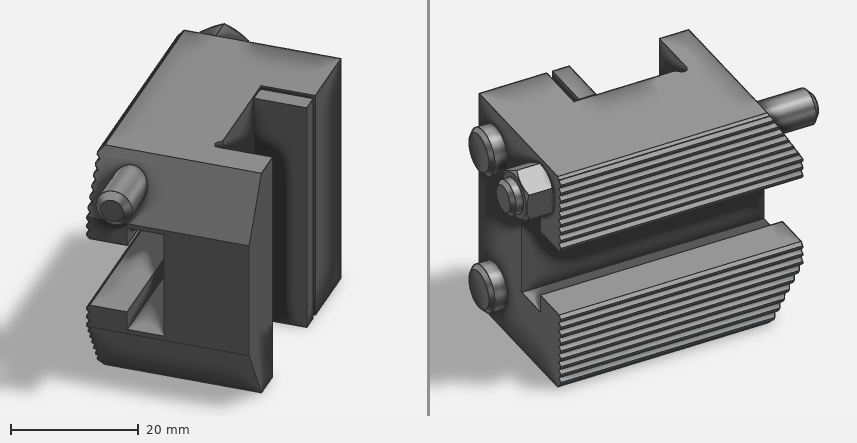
import cadquery as cq
import math

body_width = 27.0
body_length = 43.0
body_height = 40.0
half_height = body_height / 2
nose_chamfer_height = 10.0
nose_angle = 30.0
nose_chamfer_length = nose_chamfer_height * math.tan(math.radians(nose_angle))

slot_mouth_half = 6.05
slot_lip_depth = 6.75
slot_head_half = 9.25
slot_depth = 12.9

tooth_pitch = 1.5
tooth_depth = 0.58
groove_count = 8
first_groove_height = 7.5
crest_width = tooth_pitch - 2 * tooth_depth
crest_overhang = tooth_pitch / 2 + crest_width / 2
inner_edge_bevel = first_groove_height - crest_overhang - slot_mouth_half
outer_flank_height = first_groove_height + groove_count * tooth_pitch
outer_edge_bevel = 1.0

recess_floor = 18.0
recess_rear = 12.0
recess_front = 32.0
relief_radius = 0.85

plate_rear = 13.0
plate_thickness = 3.0
plate_clearance = 0.2

screw_diameter = 8.0
screw_tip_diameter = 6.0
screw_x = 21.5
screw_offset_z = 13.0
screw_head_projection = 3.0
screw_head_chamfer = 0.7
screw_tip_chamfer = (screw_diameter - screw_tip_diameter) / 2
screw_shoulder = 12.7

pin_diameter = 6.0
pin_tip_diameter = 3.8
pin_x = 6.0
pin_z = 15.0
pin_front_projection = 5.0
pin_rear_projection = 7.0
pin_tip_length = 1.0
pin_rear_chamfer = 0.7
nut_thickness = 5.0
nut_across_flats = 8.0
nut_across_corners = nut_across_flats / math.cos(math.radians(30))
nut_corner_setback = 0.75
nut_corner_length = nut_corner_setback * math.tan(math.radians(30))


def box(x_range, distance_range, z_range):
    """Box between limits; distances run forward (-Y) from the rear face."""
    x_size = x_range[1] - x_range[0]
    y_size = distance_range[1] - distance_range[0]
    z_size = z_range[1] - z_range[0]
    corner = (x_range[0], -distance_range[1], z_range[0])
    return cq.Workplane("XY").box(x_size, y_size, z_size, centered=False).translate(corner)


def turned(radius_steps, x, z):
    """Solid of revolution about a Y axis from (radius, distance) steps, rear to front."""
    outline = [(radius, -distance) for radius, distance in radius_steps]
    outline = [(0, outline[0][1])] + outline + [(0, outline[-1][1])]
    solid = cq.Workplane("XY").polyline(outline).close().revolve(360, (0, 0), (0, 1))
    return solid.translate((x, 0, z))


def make_block():
    half = half_height
    shoulder = half - nose_chamfer_height
    nose_start = body_length - nose_chamfer_length
    outline = [
        (0, half),
        (-nose_start, half),
        (-body_length, shoulder),
        (-body_length, -shoulder),
        (-nose_start, -half),
        (0, -half),
    ]
    return cq.Workplane("YZ").polyline(outline).close().extrude(body_width)


def cut_t_slot(block):
    length = (0, body_length)
    mouth = box((0, slot_lip_depth), length, (-slot_mouth_half, slot_mouth_half))
    head = box((slot_lip_depth, slot_depth), length, (-slot_head_half, slot_head_half))
    return block.cut(mouth).cut(head)


def prism(corners):
    """Prism along the whole body length with the given (x, z) corners."""
    return cq.Workplane("XZ").polyline(corners).close().extrude(body_length)


def cut_serrations(block):
    for side in (1, -1):
        for index in range(groove_count):
            z = side * (first_groove_height + index * tooth_pitch)
            groove = prism([(0, z - tooth_depth), (tooth_depth, z), (0, z + tooth_depth)])
            block = block.cut(groove)
        inner = side * slot_mouth_half
        inner_end = side * (slot_mouth_half + inner_edge_bevel)
        block = block.cut(prism([(0, inner), (inner_edge_bevel, inner), (0, inner_end)]))
        outer_edge = [
            (0, side * (outer_flank_height - tooth_depth)),
            (tooth_depth, side * outer_flank_height),
            (tooth_depth, side * (half_height - outer_edge_bevel + tooth_depth)),
            (outer_edge_bevel, side * half_height),
            (0, side * half_height),
        ]
        block = block.cut(prism(outer_edge))
    return block


def cut_clamping_recess(block):
    heights = (-half_height, half_height)
    recess = box((recess_floor, body_width), (recess_rear, recess_front), heights)
    relief_y = -(recess_front - relief_radius)
    diagonal = relief_radius * math.sqrt(0.5)
    tangent_x = recess_floor - diagonal
    tangent_y = relief_y + diagonal
    relief = (
        cq.Workplane("XY")
        .workplane(offset=-half_height)
        .moveTo(recess_floor, -recess_front)
        .threePointArc((recess_floor - relief_radius, relief_y), (tangent_x, tangent_y))
        .lineTo(recess_floor, tangent_y + diagonal)
        .close()
        .extrude(body_height)
    )
    return block.cut(recess).cut(relief)


def make_pressure_plate():
    return box(
        (recess_floor + plate_clearance, body_width),
        (plate_rear, plate_rear + plate_thickness),
        (-half_height, half_height),
    )


def make_clamping_screw(z):
    radius = screw_diameter / 2
    tip_radius = screw_tip_diameter / 2
    steps = [
        (radius - screw_head_chamfer, -screw_head_projection),
        (radius, -screw_head_projection + screw_head_chamfer),
        (radius, screw_shoulder - screw_tip_chamfer),
        (tip_radius, screw_shoulder),
        (tip_radius, plate_rear + plate_thickness / 2),
    ]
    return turned(steps, screw_x, z)


def make_pin():
    radius = pin_diameter / 2
    front_end = body_length + pin_front_projection
    steps = [
        (radius - pin_rear_chamfer, -pin_rear_projection),
        (radius, -pin_rear_projection + pin_rear_chamfer),
        (radius, front_end - pin_tip_length),
        (pin_tip_diameter / 2, front_end),
    ]
    return turned(steps, pin_x, pin_z)


def make_nut():
    hexagon = (
        cq.Workplane("XZ")
        .polygon(6, nut_across_corners)
        .extrude(-nut_thickness)
        .rotate((0, 0, 0), (0, 1, 0), 90)
        .translate((pin_x, 0, pin_z))
    )
    corner_radius = nut_across_corners / 2
    end_radius = corner_radius - nut_corner_setback
    corner_rounding = turned(
        [
            (end_radius, -nut_thickness),
            (corner_radius, -nut_thickness + nut_corner_length),
            (corner_radius, -nut_corner_length),
            (end_radius, 0),
        ],
        pin_x,
        pin_z,
    )
    return hexagon.intersect(corner_rounding)


body = make_block()
body = cut_t_slot(body)
body = cut_serrations(body)
body = cut_clamping_recess(body)

result = body.union(make_pressure_plate())
for screw_z in (screw_offset_z, -screw_offset_z):
    result = result.union(make_clamping_screw(screw_z))
result = result.union(make_pin()).union(make_nut())